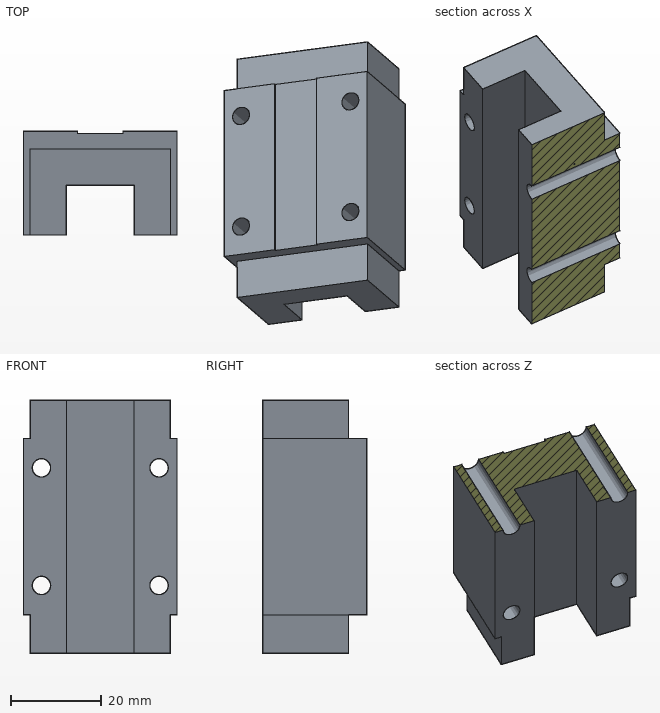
import cadquery as cq

body_width = 34.0
body_depth = 23.0
body_length = 39.0

overall_length = 56.0
cap_width = 31.0
cap_depth = 19.0

channel_width = 15.0
channel_depth = 11.0

relief_width = 10.0
relief_depth = 0.5

hole_diameter = 4.0
hole_spacing_x = 26.0
hole_spacing_z = 26.0


def block(width, depth, length, front_y=0.0):
    """Box centred on X and Z, reaching from front_y toward +Y."""
    return (
        cq.Workplane("XY")
        .box(width, depth, length, centered=(True, False, True))
        .translate((0, front_y, 0))
    )


def mounting_holes():
    """Four cylinders along Y, passing through the full body depth."""
    return (
        cq.Workplane("XZ")
        .rarray(hole_spacing_x, hole_spacing_z, 2, 2)
        .circle(hole_diameter / 2)
        .extrude(-body_depth)
    )


body = block(body_width, body_depth, body_length)
end_caps = block(cap_width, cap_depth, overall_length)
channel = block(channel_width, channel_depth, overall_length)
relief = block(relief_width, relief_depth, body_length, body_depth - relief_depth)

result = body.union(end_caps).cut(channel).cut(relief).cut(mounting_holes())